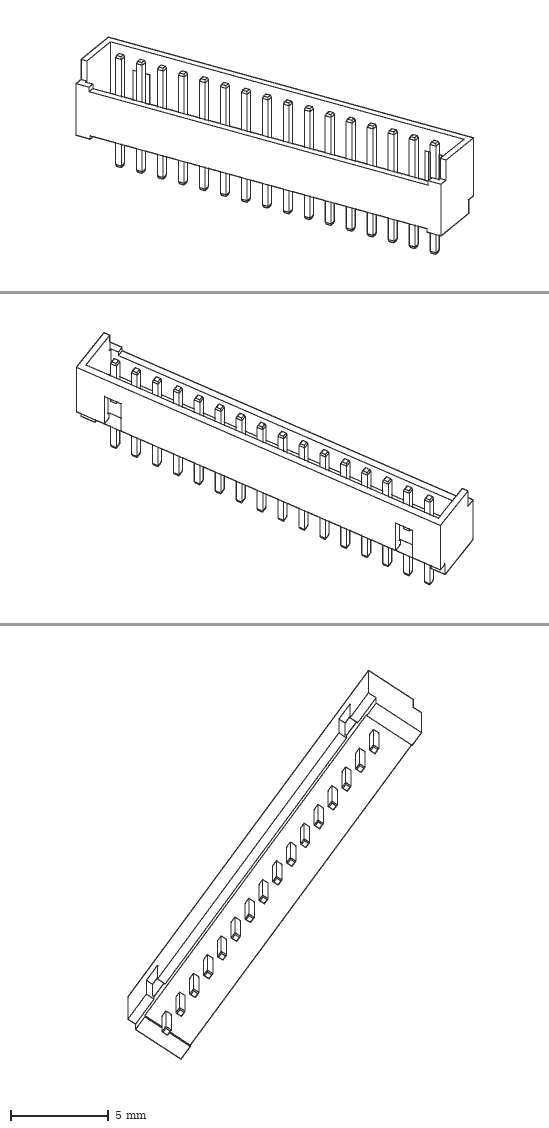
import cadquery as cq

length = 21.75
depth = 3.33
height = 4.2
overall_height = 6.48

end_wall = 0.35
long_wall = 0.4
cavity_depth = 3.0

front_step_depth = 0.52
front_step_drop = 1.17
front_wall_drop = 1.44
front_corner_length = 0.78

foot_length = 0.85
foot_height = 0.2
rear_step_depth = 0.48
rear_step_height = 0.8

window_start = 1.67
window_width = 1.0
window_drop = 1.3

pin_count = 16
pin_row_span = 18.75
pin_pitch = pin_row_span / (pin_count - 1)
pin_width = 0.35
pin_from_rear = 1.4
pin_tip_height = 0.13
pin_tip_inset = 0.05

front_y = -depth / 2
rear_y = depth / 2


def block(x_range, y_range, z_range):
    """Axis-aligned box spanning the given (low, high) ranges."""
    size = [high - low for low, high in (x_range, y_range, z_range)]
    corner = (x_range[0], y_range[0], z_range[0])
    return cq.Workplane("XY").box(*size, centered=False).translate(corner)


def across(inset=0.0):
    """X range of the housing, shortened by the inset at both ends."""
    return (inset - length / 2, length / 2 - inset)


def make_housing():
    """Open-topped shell with a low front wall and a stepped underside."""
    body = block(across(), (front_y, rear_y), (0, height))
    cavity = block(
        across(end_wall),
        (front_y + long_wall, rear_y - long_wall),
        (height - cavity_depth, height),
    )
    front_step = block(
        across(),
        (front_y, front_y + front_step_depth),
        (height - front_step_drop, height),
    )
    front_notch = block(
        across(front_corner_length),
        (front_y, front_y + long_wall),
        (height - front_wall_drop, height),
    )
    underside_relief = block(across(foot_length), (front_y, rear_y), (0, foot_height))
    rear_step = block(across(), (rear_y - rear_step_depth, rear_y), (0, rear_step_height))
    for removed in (cavity, front_step, front_notch, underside_relief, rear_step):
        body = body.cut(removed)
    return body


def make_windows():
    """Two rear openings, running from below the rim down into the rear step."""
    left_x = window_start - length / 2
    left = block(
        (left_x, left_x + window_width),
        (rear_y - rear_step_depth, rear_y),
        (0, height - window_drop),
    )
    return left.union(left.mirror("YZ"))


def make_pin():
    """Square pin with a tapered tip at each end."""
    bottom = height - overall_height
    shank_length = overall_height - 2 * pin_tip_height
    tip_width = pin_width - 2 * pin_tip_inset
    shank_bottom = bottom + pin_tip_height
    shank = (
        cq.Workplane("XY")
        .workplane(offset=shank_bottom)
        .rect(pin_width, pin_width)
        .extrude(shank_length)
    )

    def tip(base_z, direction):
        return (
            cq.Workplane("XY")
            .workplane(offset=base_z)
            .rect(pin_width, pin_width)
            .workplane(offset=direction * pin_tip_height)
            .rect(tip_width, tip_width)
            .loft()
        )

    return shank.union(tip(shank_bottom, -1)).union(tip(shank_bottom + shank_length, 1))


result = make_housing().cut(make_windows())
pin = make_pin()
pin_y = rear_y - pin_from_rear
for index in range(pin_count):
    pin_x = index * pin_pitch - pin_row_span / 2
    result = result.union(pin.translate((pin_x, pin_y, 0)))